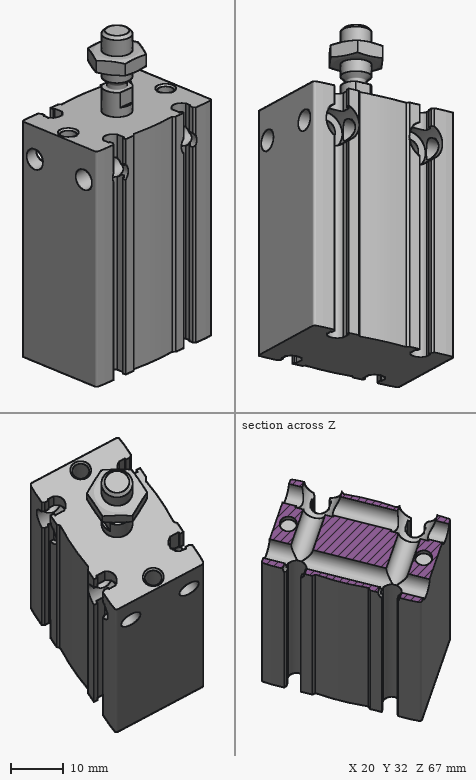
import cadquery as cq
import math

HOUSING_X = 20.0
HOUSING_Y = 32.0
HOUSING_Z = 50.0
HALF_X = HOUSING_X / 2
HALF_Y = HOUSING_Y / 2

CORNER_RADIUS = 0.5
TAPER_START_Y = 14.0
TAPER_DEPTH = 0.1

RECESS_MOUTH_HALF_Y = 5.8
RECESS_FLOOR_HALF_Y = 5.3
CROWN_HALF_Y = 4.85
RECESS_DEPTH = 0.45
CROWN_HEIGHT = 0.25

SLOT_PITCH_Y = 19.0
SLOT_BORE_DIAMETER = 4.0
SLOT_BORE_CENTER_DEPTH = 1.9
SLOT_FLAT_OFFSET = 1.85
SLOT_INNER_WALL_OFFSET = 1.4
INNER_WALL_LENGTH = 0.8
LIP_OFFSET = 1.55
LIP_CHAMFER_DEPTH = 0.5
LIP_CHAMFER_WIDTH = 0.35
LIP_LENGTH = 1.4

CROSS_HOLE_DIAMETER = 4.3
CROSS_HOLE_Z = 43.0
COUNTERBORE_DIAMETER = 7.5
COUNTERBORE_DEPTH = 6.0
Y_HOLE_PITCH_X = 13.0

TAP_PITCH_Y = 27.0
TAP_CORE_DIAMETER = 3.24
TAP_MOUTH_DIAMETER = 4.0
TAP_MOUTH_ANGLE = 90.0
TAP_DEPTH = 8.0

ROD_DIAMETER = 6.0
ROD_LENGTH = 17.0
ROD_TIP_DIAMETER = 4.7
NECK_DIAMETER = 4.0
NECK_BOTTOM = 5.2
NECK_TOP = 6.25
NECK_FILLET = 0.2
NECK_CONE_ANGLE = 45.0
FLATS_WIDTH = 5.0
FLATS_BOTTOM = 2.0

NUT_ACROSS_FLATS = 10.0
NUT_THICKNESS = 3.2
NUT_BOTTOM = HOUSING_Z + 9.7
NUT_FACE_DIAMETER = 8.8
NUT_CHAMFER_ANGLE = 15.0


def make_profile():
    """Extruded cross-section of the block, before the slots are cut."""
    floor_x = HALF_X - RECESS_DEPTH
    taper_x = HALF_X - TAPER_DEPTH
    corner_x = taper_x - CORNER_RADIUS
    corner_y = HALF_Y - CORNER_RADIUS
    arc_offset = CORNER_RADIUS * math.sqrt(0.5)
    half = (
        cq.Workplane("XY")
        .moveTo(0, -HALF_Y)
        .lineTo(corner_x, -HALF_Y)
        .threePointArc((corner_x + arc_offset, -corner_y - arc_offset), (taper_x, -corner_y))
        .lineTo(HALF_X, -TAPER_START_Y)
        .lineTo(HALF_X, -RECESS_MOUTH_HALF_Y)
        .lineTo(floor_x, -RECESS_FLOOR_HALF_Y)
        .lineTo(floor_x, -CROWN_HALF_Y)
        .threePointArc((floor_x + CROWN_HEIGHT, 0), (floor_x, CROWN_HALF_Y))
        .lineTo(floor_x, RECESS_FLOOR_HALF_Y)
        .lineTo(HALF_X, RECESS_MOUTH_HALF_Y)
        .lineTo(HALF_X, TAPER_START_Y)
        .lineTo(taper_x, corner_y)
        .threePointArc((corner_x + arc_offset, corner_y + arc_offset), (corner_x, HALF_Y))
        .lineTo(0, HALF_Y)
        .close()
        .extrude(HOUSING_Z)
    )
    return half.union(half.mirror("YZ"))


def make_slot():
    """Switch slot of the +X, +Y quarter; its outer wall carries a chamfered lip."""
    center_x = HALF_X - SLOT_BORE_CENTER_DEPTH
    center_y = SLOT_PITCH_Y / 2
    radius = SLOT_BORE_DIAMETER / 2
    inner_y = center_y - SLOT_INNER_WALL_OFFSET
    lip_y = center_y + LIP_OFFSET
    inner_wall_end_x = HALF_X - INNER_WALL_LENGTH
    lip_end_x = HALF_X - LIP_LENGTH
    inner_flat_y = center_y - SLOT_FLAT_OFFSET
    outer_flat_y = center_y + SLOT_FLAT_OFFSET
    flat_end_x = center_x - math.sqrt(radius**2 - SLOT_FLAT_OFFSET**2)
    return (
        cq.Workplane("XY")
        .moveTo(HALF_X, inner_y)
        .lineTo(HALF_X, lip_y + LIP_CHAMFER_WIDTH)
        .lineTo(HALF_X - LIP_CHAMFER_DEPTH, lip_y)
        .lineTo(lip_end_x, lip_y)
        .lineTo(lip_end_x, outer_flat_y)
        .lineTo(flat_end_x, outer_flat_y)
        .threePointArc((center_x - radius, center_y), (flat_end_x, inner_flat_y))
        .lineTo(inner_wall_end_x, inner_flat_y)
        .lineTo(inner_wall_end_x, inner_y)
        .close()
        .extrude(HOUSING_Z)
    )


def cut_slots(block):
    slot = make_slot()
    slot_pair = slot.union(slot.mirror("XZ"))
    return block.cut(slot_pair).cut(slot_pair.mirror("YZ"))


def cut_cross_holes(block):
    hole_radius = CROSS_HOLE_DIAMETER / 2
    for side in (-1, 1):
        y = side * SLOT_PITCH_Y / 2
        x_axis_plane = cq.Workplane("YZ", origin=(-HALF_X, y, CROSS_HOLE_Z))
        block = block.cut(x_axis_plane.circle(hole_radius).extrude(HOUSING_X))
        block = block.cut(x_axis_plane.circle(COUNTERBORE_DIAMETER / 2).extrude(COUNTERBORE_DEPTH))

        x = side * Y_HOLE_PITCH_X / 2
        y_axis_plane = cq.Workplane("XZ", origin=(x, HALF_Y, CROSS_HOLE_Z))
        block = block.cut(y_axis_plane.circle(hole_radius).extrude(HOUSING_Y))
    return block


def cut_tapped_holes(block):
    tap_points = [(0, -TAP_PITCH_Y / 2), (0, TAP_PITCH_Y / 2)]
    return (
        block.faces(">Z")
        .workplane(origin=(0, 0, HOUSING_Z))
        .pushPoints(tap_points)
        .cskHole(TAP_CORE_DIAMETER, TAP_MOUTH_DIAMETER, TAP_MOUTH_ANGLE, TAP_DEPTH)
    )


def make_housing():
    block = cut_slots(make_profile())
    block = cut_cross_holes(block)
    return cut_tapped_holes(block)


def make_rod():
    """Turned rod with a filleted neck below the thread and two wrench flats."""
    radius = ROD_DIAMETER / 2
    tip_radius = ROD_TIP_DIAMETER / 2
    neck_radius = NECK_DIAMETER / 2
    cone_tangent_length = NECK_FILLET * math.tan(math.radians(NECK_CONE_ANGLE / 2))
    cone_tangent_offset = cone_tangent_length * math.sqrt(0.5)
    rod = (
        cq.Workplane("XZ", origin=(0, 0, HOUSING_Z))
        .moveTo(0, 0)
        .lineTo(radius, 0)
        .lineTo(radius, NECK_BOTTOM)
        .lineTo(neck_radius + NECK_FILLET, NECK_BOTTOM)
        .radiusArc((neck_radius, NECK_BOTTOM + NECK_FILLET), NECK_FILLET)
        .lineTo(neck_radius, NECK_TOP - cone_tangent_length)
        .radiusArc((neck_radius + cone_tangent_offset, NECK_TOP + cone_tangent_offset), NECK_FILLET)
        .lineTo(radius, NECK_TOP + radius - neck_radius)
        .lineTo(radius, ROD_LENGTH - radius + tip_radius)
        .lineTo(tip_radius, ROD_LENGTH)
        .lineTo(0, ROD_LENGTH)
        .close()
        .revolve(360, (0, 0, 0), (0, 1, 0))
    )
    for side in (-1, 1):
        flat_cut = cq.Workplane("XY").box(
            FLATS_WIDTH, ROD_DIAMETER, NECK_BOTTOM - FLATS_BOTTOM, centered=(True, True, False)
        )
        rod = rod.cut(flat_cut.translate((side * FLATS_WIDTH, 0, HOUSING_Z + FLATS_BOTTOM)))
    return rod


def make_nut():
    """Hexagon with corners on Y, its corners chamfered at both ends."""
    corner_radius = NUT_ACROSS_FLATS / math.sqrt(3)
    face_radius = NUT_FACE_DIAMETER / 2
    chamfer_height = (corner_radius - face_radius) * math.tan(math.radians(NUT_CHAMFER_ANGLE))
    hexagon = (
        cq.Workplane("XY", origin=(0, 0, NUT_BOTTOM))
        .transformed(rotate=(0, 0, 90))
        .polygon(6, 2 * corner_radius)
        .circle(ROD_DIAMETER / 2)
        .extrude(NUT_THICKNESS)
    )
    chamfer_envelope = (
        cq.Workplane("XZ", origin=(0, 0, NUT_BOTTOM))
        .moveTo(0, 0)
        .lineTo(face_radius, 0)
        .lineTo(corner_radius, chamfer_height)
        .lineTo(corner_radius, NUT_THICKNESS - chamfer_height)
        .lineTo(face_radius, NUT_THICKNESS)
        .lineTo(0, NUT_THICKNESS)
        .close()
        .revolve(360, (0, 0, 0), (0, 1, 0))
    )
    return hexagon.intersect(chamfer_envelope)


housing = make_housing()
rod = make_rod()
nut = make_nut()

result = cq.Compound.makeCompound([housing.val(), rod.val(), nut.val()])